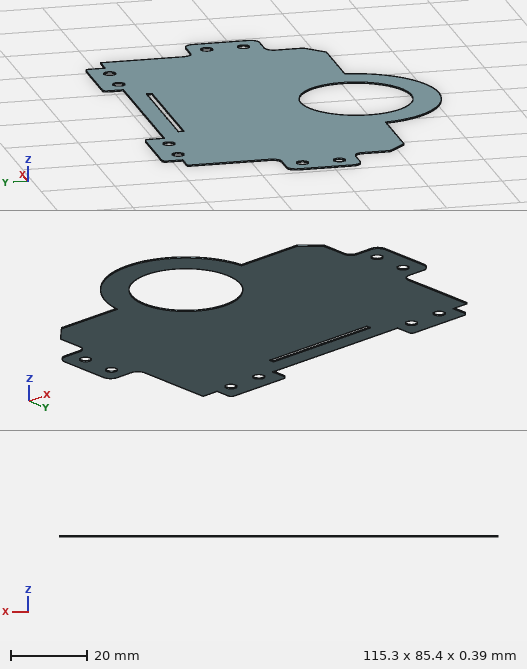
import cadquery as cq

thickness = 0.39
body_width = 95.0
body_top = 57.5
body_bottom = -2.5
corner_chamfer = 5.0

ring_radius = 22.5
opening_diameter = 30.0

tab_length = 20.0
hole_diameter = 3.2
hole_pitch = 10.0

side_tab_span = 115.27
side_tab_centre_y = 22.5
side_hole_x = 52.5
side_fillet = 2.5

top_tab_centre_x = 32.5
top_tab_top = 62.92
top_hole_y = body_top
top_fillet = 1.0

slot_length = 35.0
slot_width = 1.5
slot_centre_y = 51.75


def plate_block(x_min, x_max, y_min, y_max):
    """Rectangular piece of the sheet, resting on Z = 0."""
    return (
        cq.Workplane("XY")
        .box(x_max - x_min, y_max - y_min, thickness, centered=False)
        .translate((x_min, y_min, 0))
    )


def disc(x, y, diameter):
    """Round piece of the sheet, used for the ring and for the holes."""
    return cq.Workplane("XY").center(x, y).circle(diameter / 2).extrude(thickness)


def make_body():
    """Main plate with its two lower corners cut off."""
    body = plate_block(-body_width / 2, body_width / 2, body_bottom, body_top)
    return body.edges("|Z and <Y").chamfer(corner_chamfer)


def add_side_tabs(plate):
    """One bar across the plate forms both side tabs; all their corners are rounded."""
    half_span = side_tab_span / 2
    y_min = side_tab_centre_y - tab_length / 2
    y_max = side_tab_centre_y + tab_length / 2
    bar = plate_block(-half_span, half_span, y_min, y_max).edges("|Z").fillet(side_fillet)
    plate = plate.union(bar)
    for x in (-body_width / 2, body_width / 2):
        for y in (y_min, y_max):
            inner_corner = cq.selectors.NearestToPointSelector((x, y, thickness / 2))
            plate = plate.edges("|Z").edges(inner_corner).fillet(side_fillet)
    return plate


def add_top_tabs(plate):
    """Tabs rising from the top edge, with rounded outer corners; each block overlaps the plate."""
    for x in (-top_tab_centre_x, top_tab_centre_x):
        tab = plate_block(x - tab_length / 2, x + tab_length / 2, body_bottom, top_tab_top)
        plate = plate.union(tab.edges("|Z and >Y").fillet(top_fillet))
    return plate


def cut_mounting_holes(plate):
    """Two holes in each of the four tabs."""
    for side in (-1, 1):
        for offset in (-hole_pitch / 2, hole_pitch / 2):
            plate = plate.cut(disc(side * side_hole_x, side_tab_centre_y + offset, hole_diameter))
            plate = plate.cut(disc(side * top_tab_centre_x + offset, top_hole_y, hole_diameter))
    return plate


def cut_slot(plate):
    """Narrow straight slot, centred in X."""
    y_min = slot_centre_y - slot_width / 2
    slot = plate_block(-slot_length / 2, slot_length / 2, y_min, y_min + slot_width)
    return plate.cut(slot)


plate = add_side_tabs(make_body())
plate = add_top_tabs(plate)
plate = plate.union(disc(0, 0, 2 * ring_radius))
plate = plate.cut(disc(0, 0, opening_diameter))
plate = cut_mounting_holes(plate)
result = cut_slot(plate)